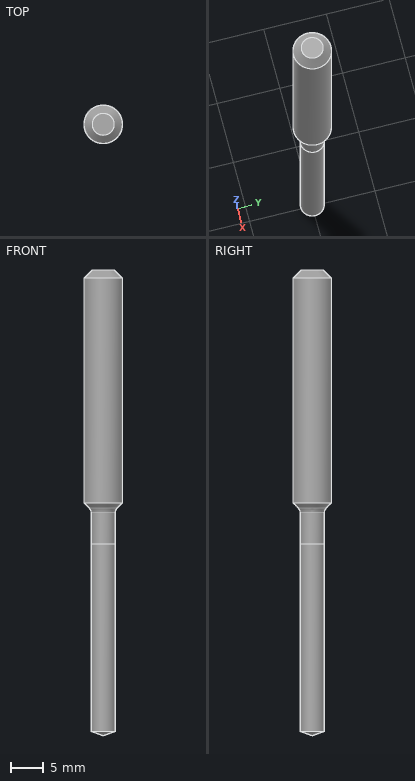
import cadquery as cq
import math

overall_length = 72.0
shank_diameter = 6.0
shank_length = 36.0
top_chamfer = 1.3
drill_diameter = 3.75
point_angle = 140.0
cutting_length = 29.7
shoulder_angle = 45.0
neck_fillet_radius = 1.0

shank_radius = shank_diameter / 2
drill_radius = drill_diameter / 2
point_height = drill_radius / math.tan(math.radians(point_angle / 2))
shoulder_z = overall_length - shank_length
shoulder_height = (shank_radius - drill_radius) / math.tan(math.radians(shoulder_angle))
neck_top_z = shoulder_z - shoulder_height


def revolve_about_z(profile):
    """Turn a closed radius-height profile into a solid of revolution."""
    return profile.close().revolve(360, (0, 0, 0), (0, 1, 0))


def make_shank():
    """Chamfered shank with a conical shoulder blended into a short neck."""
    profile = (
        cq.Workplane("XZ")
        .moveTo(0, cutting_length)
        .lineTo(drill_radius, cutting_length)
        .lineTo(drill_radius, neck_top_z)
        .lineTo(shank_radius, shoulder_z)
        .lineTo(shank_radius, overall_length)
        .lineTo(0, overall_length)
    )
    neck_edge = cq.selectors.NearestToPointSelector((0, 0, neck_top_z))
    shank = revolve_about_z(profile).faces(">Z").edges().chamfer(top_chamfer)
    return shank.edges("%CIRCLE").edges(neck_edge).fillet(neck_fillet_radius)


def make_cutting_section():
    """Cylindrical cutting section ending in a conical point."""
    profile = (
        cq.Workplane("XZ")
        .moveTo(0, 0)
        .lineTo(drill_radius, point_height)
        .lineTo(drill_radius, cutting_length)
        .lineTo(0, cutting_length)
    )
    return revolve_about_z(profile)


shank = make_shank()
cutting_section = make_cutting_section()

result = cq.Compound.makeCompound([shank.val(), cutting_section.val()])